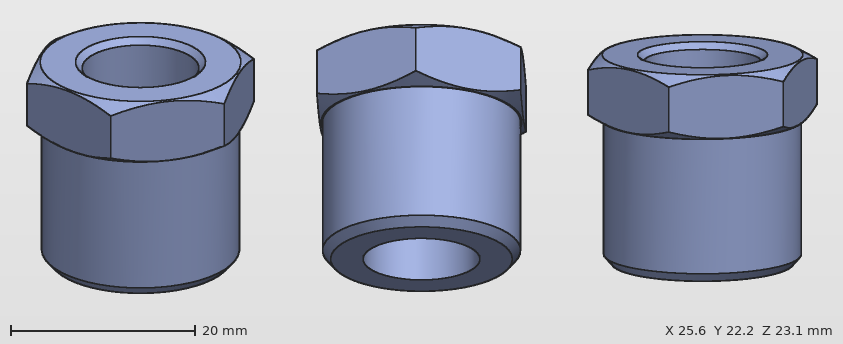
import cadquery as cq
import math

across_corners = 25.58
head_height = 7.15
head_face_diameter = 21.8
head_chamfer_angle = 30.0

total_height = 23.1
shank_diameter = 21.5
shank_chamfer_height = 1.02
shank_chamfer_width = 0.9

bore_diameter = 12.7
mouth_diameter = 14.12

corner_radius = across_corners / 2
head_bottom = total_height - head_height


def hexagon_head():
    """Hexagonal prism whose corners are cut by a cone at both ends."""
    prism = (
        cq.Workplane("XY", origin=(0, 0, head_bottom))
        .polygon(6, across_corners)
        .extrude(head_height)
    )
    face_radius = head_face_diameter / 2
    corner_drop = (corner_radius - face_radius) * math.tan(math.radians(head_chamfer_angle))
    envelope = (
        cq.Workplane("XZ")
        .moveTo(0, head_bottom)
        .lineTo(face_radius, head_bottom)
        .lineTo(corner_radius, head_bottom + corner_drop)
        .lineTo(corner_radius, total_height - corner_drop)
        .lineTo(face_radius, total_height)
        .lineTo(0, total_height)
        .close()
        .revolve(360, (0, 0, 0), (0, 1, 0))
    )
    return prism.intersect(envelope)


def shank():
    """Plain cylinder with a chamfered lower end."""
    cylinder = cq.Workplane("XY").circle(shank_diameter / 2).extrude(head_bottom)
    return cylinder.faces("<Z").chamfer(shank_chamfer_height, shank_chamfer_width)


def add_bore(body):
    """Drill through along Z and break the top edge at 45 degrees."""
    mouth_chamfer = (mouth_diameter - bore_diameter) / 2
    bored = body.faces(">Z").workplane(origin=(0, 0, total_height)).hole(bore_diameter)
    bore_edge = cq.selectors.RadiusNthSelector(0)
    return bored.faces(">Z").edges(bore_edge).chamfer(mouth_chamfer)


result = add_bore(hexagon_head().union(shank()))